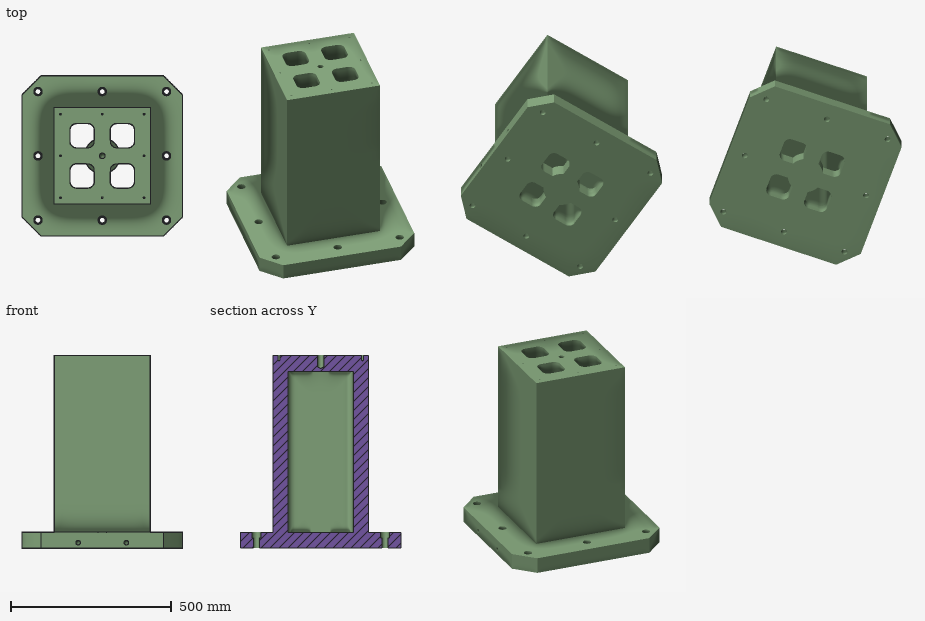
import cadquery as cq
import math

BASE_SIZE = 500.0
BASE_THICKNESS = 50.0
BASE_CORNER_CHAMFER = 60.0

TOWER_SIZE = 300.0
TOTAL_HEIGHT = 600.0

CAVITY_SIZE = 201.0
WINDOW_SPAN = 200.0
CROSS_WIDTH = 50.0
END_WALL_THICKNESS = 50.0
CORNER_RADIUS = 20.0
HUB_DIAMETER = 111.0

MOUNT_SPACING = 200.0
MOUNT_DIAMETER = 18.0
MOUNT_BORE_DIAMETER = 26.0
MOUNT_BORE_DEPTH = 17.5

TOP_HOLE_SPACING = 130.0
TOP_HOLE_DIAMETER = 5.0
TOP_HOLE_DEPTH = 15.0

LIFT_HOLE_DIAMETER = 17.5
LIFT_HOLE_DEPTH = 35.0

SIDE_HOLE_SPACING = 150.0
SIDE_HOLE_HEIGHT = 17.5
SIDE_HOLE_DIAMETER = 14.0
SIDE_HOLE_DEPTH = 30.0

DRILL_POINT_ANGLE = 118.0

SIGNS = (-1, 1)


def grid_ring(spacing):
    """Eight points of a 3 x 3 grid, without the centre one."""
    steps = (-spacing, 0, spacing)
    return [(x, y) for x in steps for y in steps if (x, y) != (0, 0)]


def drilled_hole(diameter, depth, mouth, direction):
    """Blind hole with a conical bottom; depth is that of the straight part."""
    radius = diameter / 2
    point_depth = radius / math.tan(math.radians(DRILL_POINT_ANGLE / 2))
    mouth = cq.Vector(*mouth)
    direction = cq.Vector(*direction)
    shaft = cq.Solid.makeCylinder(radius, depth, mouth, direction)
    point = cq.Solid.makeCone(radius, 0, point_depth, mouth + direction * depth, direction)
    return shaft.fuse(point)


def make_body():
    base = cq.Workplane("XY").box(BASE_SIZE, BASE_SIZE, BASE_THICKNESS, centered=(True, True, False))
    base = base.edges("|Z").chamfer(BASE_CORNER_CHAMFER)
    tower = cq.Workplane("XY").box(TOWER_SIZE, TOWER_SIZE, TOTAL_HEIGHT, centered=(True, True, False))
    return base.union(tower)


def rounded_block(size, bottom, top):
    """Square block with rounded upright edges, centred on the Z axis."""
    block = cq.Workplane("XY").workplane(offset=bottom).rect(size, size).extrude(top - bottom)
    return block.edges("|Z").fillet(CORNER_RADIUS)


def end_windows(bottom):
    """Four rounded windows through one end wall, leaving a cross between them."""
    size = (WINDOW_SPAN - CROSS_WIDTH) / 2
    offset = (CROSS_WIDTH + size) / 2
    window = rounded_block(size, bottom, bottom + END_WALL_THICKNESS)
    windows = cq.Workplane("XY")
    for x_sign in SIGNS:
        for y_sign in SIGNS:
            windows = windows.add(window.translate((x_sign * offset, y_sign * offset, 0)))
    return windows.combine()


def cut_hollow(body):
    top_wall_underside = TOTAL_HEIGHT - END_WALL_THICKNESS
    cavity = rounded_block(CAVITY_SIZE, END_WALL_THICKNESS, top_wall_underside)
    hub = cq.Workplane("XY").circle(HUB_DIAMETER / 2).extrude(END_WALL_THICKNESS)
    bottom_windows = end_windows(0).cut(hub)
    return body.cut(cavity).cut(end_windows(top_wall_underside)).cut(bottom_windows)


def cut_mounting_holes(body):
    top = cq.Workplane("XY").workplane(offset=BASE_THICKNESS)
    points = grid_ring(MOUNT_SPACING)
    holes = top.pushPoints(points).circle(MOUNT_DIAMETER / 2).extrude(-BASE_THICKNESS)
    bores = top.pushPoints(points).circle(MOUNT_BORE_DIAMETER / 2).extrude(-MOUNT_BORE_DEPTH)
    return body.cut(holes).cut(bores)


def cut_top_holes(body):
    for x, y in grid_ring(TOP_HOLE_SPACING):
        mouth = (x, y, TOTAL_HEIGHT)
        body = body.cut(cq.Workplane(drilled_hole(TOP_HOLE_DIAMETER, TOP_HOLE_DEPTH, mouth, (0, 0, -1))))
    mouth = (0, 0, TOTAL_HEIGHT)
    return body.cut(cq.Workplane(drilled_hole(LIFT_HOLE_DIAMETER, LIFT_HOLE_DEPTH, mouth, (0, 0, -1))))


def cut_side_holes(body):
    for sign in SIGNS:
        mouth = (sign * SIDE_HOLE_SPACING / 2, -BASE_SIZE / 2, SIDE_HOLE_HEIGHT)
        body = body.cut(cq.Workplane(drilled_hole(SIDE_HOLE_DIAMETER, SIDE_HOLE_DEPTH, mouth, (0, 1, 0))))
    return body


result = make_body()
result = cut_hollow(result)
result = cut_mounting_holes(result)
result = cut_top_holes(result)
result = cut_side_holes(result)